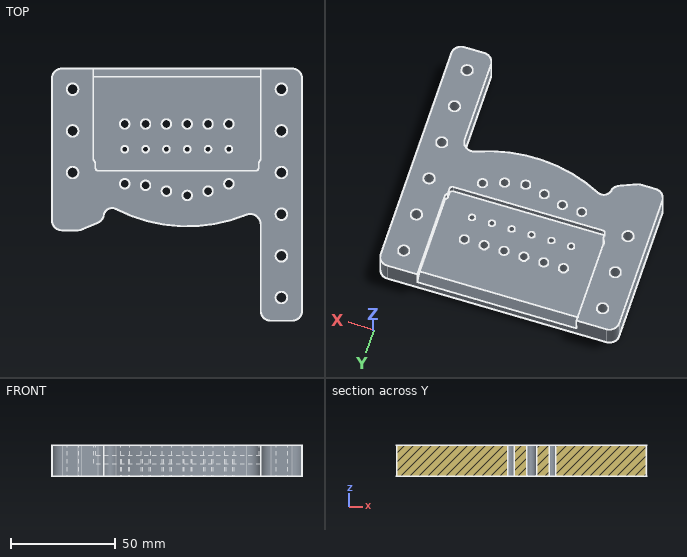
import cadquery as cq
import math

WIDTH = 120.0
LENGTH = 121.0
THICKNESS = 15.0
ARM_WIDTH = 20.0
LEFT_ARM_LENGTH = 77.7
CORNER_RADIUS = 5.0
right_arm_x = WIDTH - ARM_WIDTH

BOW_RADIUS = 74.5
BOW_LOWEST_X = 65.0
BOW_LOWEST_Y = -75.7
BOW_START_X = 30.7
LEFT_NOTCH_RADIUS = 4.0
FOOT_SLOPE_START_X = 13.3
FOOT_BLEND_RADIUS = 4.0
FOOT_SLOPE_END = (22.0, -74.0)
FOOT_NOSE_MIDDLE = (23.7, -72.8)

RECESS_DEPTH = 5.0
RECESS_LENGTH = 49.1
RECESS_STEP = 1.0
RECESS_STEP_START_Y = -43.7
RECESS_STEP_END_Y = -45.3
RECESS_CORNER_RADIUS = 1.5
BEVEL_LENGTH = 4.0
BEVEL_DROP = 4.0

ARM_HOLE_DIAMETER = 5.5
ARM_HOLE_PITCH = 20.0
ARM_HOLE_INSET = ARM_WIDTH / 2
LEFT_HOLE_COUNT = 3
RIGHT_HOLE_COUNT = 6
KEY_HOLE_DIAMETER = 4.5
SMALL_HOLE_DIAMETER = 3.1
ROW_START_X = 35.0
ROW_PITCH = ARM_HOLE_PITCH / 2
BACK_ROW_Y = -26.6
SMALL_ROW_Y = -38.7
FRONT_HOLES_Y = [-55.3, -56.0, -58.8, -60.9, -58.8, -55.3]


def bow_point(x):
    """Point of the bowed front edge at the given x."""
    rise = BOW_RADIUS - math.sqrt(BOW_RADIUS**2 - (x - BOW_LOWEST_X) ** 2)
    return (x, BOW_LOWEST_Y + rise)


def polar(center, radius, angle):
    """Point on a circle at an angle in radians."""
    return (center[0] + radius * math.cos(angle), center[1] + radius * math.sin(angle))


def make_plate():
    bow_center = (BOW_LOWEST_X, BOW_LOWEST_Y + BOW_RADIUS)

    bow_start = bow_point(BOW_START_X)
    start_angle = math.atan2(bow_start[1] - bow_center[1], bow_start[0] - bow_center[0])
    notch_center = polar(bow_center, BOW_RADIUS + LEFT_NOTCH_RADIUS, start_angle)
    notch_start = polar(notch_center, LEFT_NOTCH_RADIUS, math.pi)
    notch_middle = polar(notch_center, LEFT_NOTCH_RADIUS, 0.75 * math.pi)

    fillet_x = right_arm_x - CORNER_RADIUS
    end_angle = -math.acos((fillet_x - bow_center[0]) / (BOW_RADIUS + CORNER_RADIUS))
    fillet_center = polar(bow_center, BOW_RADIUS + CORNER_RADIUS, end_angle)
    bow_end = polar(bow_center, BOW_RADIUS, end_angle)
    fillet_middle = polar(fillet_center, CORNER_RADIUS, math.pi / 3)
    fillet_end = polar(fillet_center, CORNER_RADIUS, 0)

    plate = (
        cq.Workplane("XY")
        .moveTo(0, 0)
        .lineTo(0, -LEFT_ARM_LENGTH)
        .lineTo(FOOT_SLOPE_START_X, -LEFT_ARM_LENGTH)
        .lineTo(*FOOT_SLOPE_END)
        .threePointArc(FOOT_NOSE_MIDDLE, notch_start)
        .threePointArc(notch_middle, bow_start)
        .threePointArc((BOW_LOWEST_X, BOW_LOWEST_Y), bow_end)
        .threePointArc(fillet_middle, fillet_end)
        .lineTo(right_arm_x, -LENGTH)
        .lineTo(WIDTH, -LENGTH)
        .lineTo(WIDTH, 0)
        .close()
        .extrude(THICKNESS)
    )
    outer_corners = [
        (0, 0),
        (0, -LEFT_ARM_LENGTH),
        (right_arm_x, -LENGTH),
        (WIDTH, -LENGTH),
        (WIDTH, 0),
    ]
    for x, y in outer_corners:
        corner = cq.selectors.NearestToPointSelector((x, y, THICKNESS / 2))
        plate = plate.edges(corner).fillet(CORNER_RADIUS)

    foot_bend = cq.selectors.NearestToPointSelector((FOOT_SLOPE_START_X, -LEFT_ARM_LENGTH, THICKNESS / 2))
    return plate.edges(foot_bend).fillet(FOOT_BLEND_RADIUS)


def make_recess():
    """Volume removed above the recess floor and its sloped back edge."""
    left = ARM_WIDTH
    right = right_arm_x
    floor_z = THICKNESS - RECESS_DEPTH
    pocket = (
        cq.Workplane("XY", origin=(0, 0, floor_z))
        .polyline([
            (left, 0),
            (left, RECESS_STEP_START_Y),
            (left + RECESS_STEP, RECESS_STEP_END_Y),
            (left + RECESS_STEP, -RECESS_LENGTH),
            (right - RECESS_STEP, -RECESS_LENGTH),
            (right - RECESS_STEP, RECESS_STEP_END_Y),
            (right, RECESS_STEP_START_Y),
            (right, 0),
        ])
        .close()
        .extrude(RECESS_DEPTH)
    )
    for x in (left + RECESS_STEP, right - RECESS_STEP):
        corner = cq.selectors.NearestToPointSelector((x, -RECESS_LENGTH, floor_z + RECESS_DEPTH / 2))
        pocket = pocket.edges(corner).fillet(RECESS_CORNER_RADIUS)
    bevel = (
        cq.Workplane("YZ", origin=(left, 0, 0))
        .polyline([(-BEVEL_LENGTH, floor_z), (0, floor_z), (0, floor_z - BEVEL_DROP)])
        .close()
        .extrude(right - left)
    )
    return pocket.union(bevel)


def make_holes(points, diameter):
    return cq.Workplane("XY").pushPoints(points).circle(diameter / 2).extrude(THICKNESS)


def arm_hole_points(x, count):
    return [(x, -ARM_HOLE_INSET - i * ARM_HOLE_PITCH) for i in range(count)]


row_x = [ROW_START_X + i * ROW_PITCH for i in range(len(FRONT_HOLES_Y))]
arm_holes = arm_hole_points(ARM_HOLE_INSET, LEFT_HOLE_COUNT)
arm_holes += arm_hole_points(WIDTH - ARM_HOLE_INSET, RIGHT_HOLE_COUNT)
key_holes = [(x, BACK_ROW_Y) for x in row_x] + list(zip(row_x, FRONT_HOLES_Y))
small_holes = [(x, SMALL_ROW_Y) for x in row_x]

result = (
    make_plate()
    .cut(make_recess())
    .cut(make_holes(arm_holes, ARM_HOLE_DIAMETER))
    .cut(make_holes(key_holes, KEY_HOLE_DIAMETER))
    .cut(make_holes(small_holes, SMALL_HOLE_DIAMETER))
)